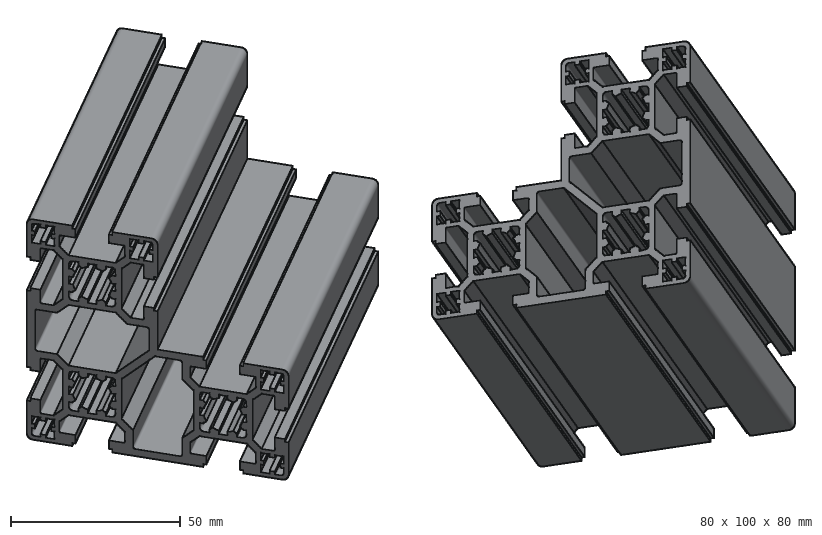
import cadquery as cq
import math

module = 40.0
length = 100.0
half = module / 2
corner_radius = 2.0

mouth_half = 5.1
step_half = 6.1
step_depth = 1.1
lip_thickness = 4.2
cavity_half = 10.0
floor_half = 7.2
slot_fillet = 0.5

core_outer_half = 9.0
core_inner_half = 7.1
core_fillet = 1.3
slot_depth = half - core_outer_half

tooth_inner = 1.3
tooth_outer = 4.2
tooth_shoulder = 6.1
tip_radius = 6.0

tube_offset = 5.0
tube_half = 3.5
tube_fillet = 1.0
rib_width = 1.6
rib_height = 1.0

hollow_wall = 2.6
web_thickness = 2.5
hollow_fillet = 0.8

corner_cell = (half, half)
upper_cell = (half, half + module)
right_cell = (half + module, half)

UP, LEFT, DOWN, RIGHT = 0, 90, 180, 270
cells = [
    (corner_cell, (LEFT, DOWN)),
    (upper_cell, (UP, LEFT, RIGHT)),
    (right_cell, (UP, DOWN, RIGHT)),
]
tube_corners = [
    (corner_cell, (-1, -1)),
    (upper_cell, (-1, 1)),
    (upper_cell, (1, 1)),
    (right_cell, (1, 1)),
    (right_cell, (1, -1)),
]


def prism(points):
    """Full-length prism on a closed XZ outline."""
    return cq.Workplane("XZ").polyline(points).close().extrude(-length)


def block(x_size, z_size, x=0, z=0):
    """Full-length rectangular bar centred on (x, z)."""
    return cq.Workplane("XZ").center(x, z).rect(x_size, z_size).extrude(-length)


def edge_at(x, z):
    """Selector for the lengthwise edge through (x, z)."""
    return cq.selectors.NearestToPointSelector((x, length / 2, z))


def turned(body, angle):
    """Turn a body about the Y axis, from +Z towards -X."""
    return body.rotate((0, 0, 0), (0, 1, 0), -angle)


def placed(body, centre):
    return body.translate((centre[0], 0, centre[1]))


def make_blank():
    """L-shaped bar with rounded outer edges; the re-entrant edge stays sharp."""
    size = 2 * module
    lower_corners = [(0, 0), (size, 0), (size, module)]
    upper_corners = [(module, size), (0, size)]
    blank = prism(lower_corners + [(module, module)] + upper_corners)
    for x, z in lower_corners + upper_corners:
        blank = blank.edges(edge_at(x, z)).fillet(corner_radius)
    return blank


def make_slot():
    """T-slot opening towards +Z, for a cell centred on the origin."""
    roof = half - lip_thickness
    shoulder = core_outer_half + cavity_half - floor_half
    cavity = prism([
        (-cavity_half, roof),
        (cavity_half, roof),
        (cavity_half, shoulder),
        (floor_half, core_outer_half),
        (-floor_half, core_outer_half),
        (-cavity_half, shoulder),
    ])
    for x in (-cavity_half, cavity_half):
        cavity = cavity.edges(edge_at(x, roof)).fillet(slot_fillet)
    mouth = block(2 * mouth_half, slot_depth, z=half - slot_depth / 2)
    step = block(2 * step_half, step_depth, z=half - step_depth / 2)
    return cavity.union(mouth).union(step)


def make_tooth():
    """Tooth on the +Z core wall: concave tip, outer flank sloping at 45 degrees."""
    rise = tooth_shoulder - tooth_outer
    tip_x = (math.sqrt(2 * tip_radius**2 - rise**2) - rise) / 2
    mid_x = (tooth_inner + tip_x) / 2
    return (
        cq.Workplane("XZ")
        .moveTo(tooth_inner, core_outer_half)
        .lineTo(tooth_inner, math.sqrt(tip_radius**2 - tooth_inner**2))
        .threePointArc((mid_x, math.sqrt(tip_radius**2 - mid_x**2)), (tip_x, tip_x + rise))
        .lineTo(tooth_outer, tooth_shoulder)
        .lineTo(tooth_outer, core_outer_half)
        .close()
        .extrude(-length)
    )


def make_core_bore():
    """Opening of the core tube, centred on the origin."""
    bore = block(2 * core_inner_half, 2 * core_inner_half).edges("|Y").fillet(core_fillet)
    tooth = make_tooth()
    tooth_pair = tooth.union(tooth.mirror("YZ"))
    for angle in (UP, LEFT, DOWN, RIGHT):
        bore = bore.cut(turned(tooth_pair, angle))
    return bore


def make_tube_bore(x_sign, z_sign):
    """Opening of a corner tube, rounded only at its outermost corner."""
    bore = block(2 * tube_half, 2 * tube_half)
    bore = bore.edges(edge_at(x_sign * tube_half, z_sign * tube_half)).fillet(tube_fillet)
    rib = block(rib_width, rib_height, z=tube_half - rib_height / 2)
    for angle in (UP, LEFT, DOWN, RIGHT):
        bore = bore.cut(turned(rib, angle))
    return bore


def make_upper_hollow():
    """Hollow between the corner cell and the upper cell."""
    left = hollow_wall
    right = module - hollow_wall
    floor = half + core_outer_half
    ceiling = half + module - core_outer_half
    ledge_reach = cavity_half + web_thickness
    low_ledge = half + ledge_reach
    high_ledge = half + module - ledge_reach
    flat_left = half - floor_half
    flat_right = half + floor_half
    diagonal_top = floor + right - flat_right
    bevel = ledge_reach - core_outer_half
    hollow = prism([
        (flat_left, floor),
        (flat_right, floor),
        (right, diagonal_top),
        (right, high_ledge),
        (flat_right + bevel, high_ledge),
        (flat_right, ceiling),
        (flat_left, ceiling),
        (flat_left - bevel, high_ledge),
        (left, high_ledge),
        (left, low_ledge),
        (flat_left - bevel, low_ledge),
    ])
    for x, z in [(left, low_ledge), (left, high_ledge), (right, high_ledge)]:
        hollow = hollow.edges(edge_at(x, z)).fillet(hollow_fillet)
    return hollow


def swapped_x_and_z(body):
    """Mirror a body in the plane x = z."""
    return body.mirror(cq.Vector(1, 0, -1), (0, 0, 0))


result = make_blank()

slot = make_slot()
core_bore = make_core_bore()
for centre, directions in cells:
    result = result.cut(placed(core_bore, centre))
    for direction in directions:
        result = result.cut(placed(turned(slot, direction), centre))

tube_reach = half - tube_offset
for (cell_x, cell_z), (x_sign, z_sign) in tube_corners:
    tube_centre = (cell_x + x_sign * tube_reach, cell_z + z_sign * tube_reach)
    result = result.cut(placed(make_tube_bore(x_sign, z_sign), tube_centre))

upper_hollow = make_upper_hollow()
result = result.cut(upper_hollow).cut(swapped_x_and_z(upper_hollow))